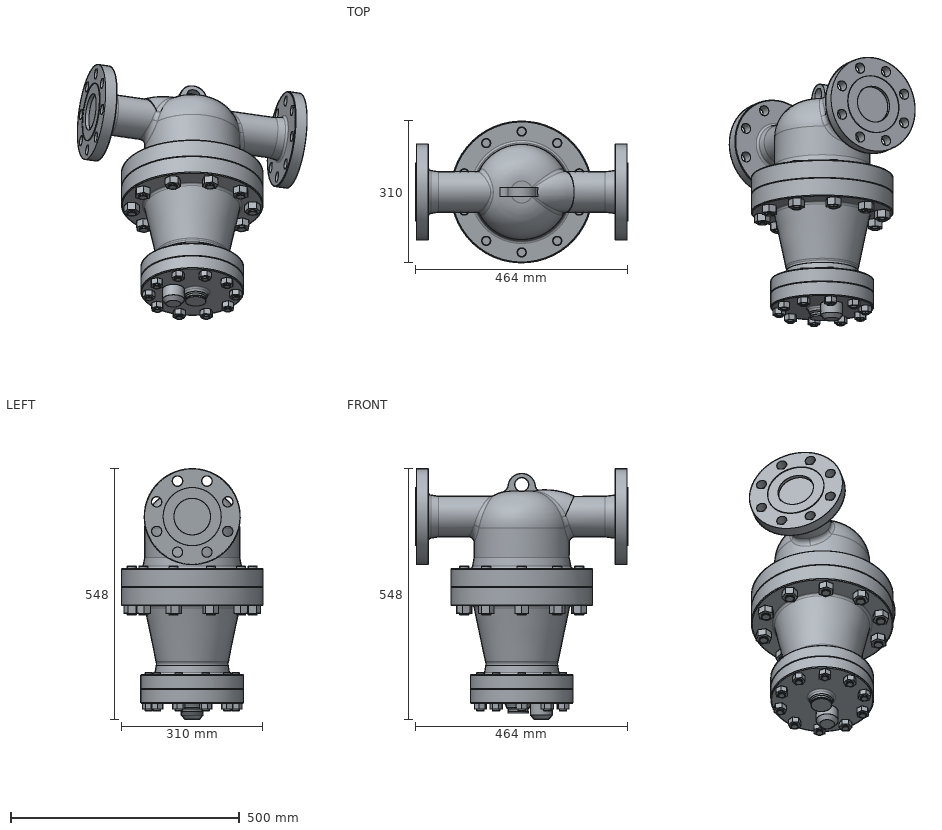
import cadquery as cq
import math

overall_length = 464.0

flange_diameter = 210.0
flange_thickness = 26.8
flange_edge_chamfer = 1.5
raised_face_diameter = 127.0
raised_face_height = 1.6
flange_hole_diameter = 22.2
flange_hole_circle = 168.0
flange_hole_count = 8
bore_diameter = 80.0
bore_depth = 8.0
pipe_diameter = 89.0
hub_diameter = 94.6
hub_length = 21.5
hub_fillet = 5.0

elbow_bend_radius = 114.3
elbow_center_x = 50.0
elbow_center_z = -100.0
elbow_angle_to_pipe = 24.0
elbow_angle_past_crown = 20.0
pipe_blend = 12.0
elbow_blend = 12.0
elbow_blend_limit_x = 100.0

body_diameter = 208.0
dome_radius = 80.0
dome_base_z = -24.4
upper_neck_top_z = -89.0
neck_fillet = 5.0
upper_neck_diameter = 215.0

cone_bottom_z = -316.0
cone_bottom_diameter = 159.0
weld_top_z = -320.0
weld_bottom_z = -325.0
weld_diameter = 156.5
lower_neck_top_diameter = 157.5
lower_neck_diameter = 162.5

joint_gap = 1.6
joint_chamfer = 2.0
bolt_count = 10
stud_chamfer = 1.0
stud_tail = 4.0

upper_joint_top_z = -113.0
upper_joint_diameter = 310.0
upper_plate_thickness = 40.0
upper_gasket_diameter = 240.0
upper_bolt_circle = 264.0
upper_stud_diameter = 20.0
upper_stud_head = 5.0
upper_nut_across_flats = 30.0
upper_nut_height = 16.5

lower_joint_top_z = -345.0
lower_joint_diameter = 225.0
lower_plate_thickness = 30.6
lower_gasket_diameter = 172.0
lower_bolt_circle = 190.0
lower_stud_diameter = 16.0
lower_stud_head = 4.0
lower_nut_across_flats = 24.0
lower_nut_height = 13.0

boss_x = -8.0
boss_flare = 4.0
boss_root_diameter = 54.0
boss_shoulder_diameter = 50.0
boss_shoulder_depth = 9.5
boss_waist_depth = 12.5
boss_groove_diameter = 42.0
boss_rim_diameter = 45.0
boss_rim_depth = 17.5
boss_rim_height = 4.0
plug_x = 43.0
plug_diameter = 48.0
plug_tip_diameter = 32.0
plug_shoulder_depth = 25.5
bottom_z = -443.0

lug_thickness = 20.0
lug_radius = 30.0
lug_center_z = 64.5
lug_hole_diameter = 30.0
lug_hole_z = 70.0
lug_half_length = 47.0
lug_flare_center_z = 70.4

quarter_arc_sag = 1 - math.sqrt(0.5)
dome_top_z = dome_base_z + dome_radius
dome_flat_radius = body_diameter / 2 - dome_radius
upper_joint_bottom_z = upper_joint_top_z - 2 * upper_plate_thickness - joint_gap
lower_joint_bottom_z = lower_joint_top_z - 2 * lower_plate_thickness - joint_gap
flange_back = overall_length / 2 - raised_face_height - flange_thickness
hub_end = flange_back - hub_length


def cylinder(diameter, z_start, z_end, x=0.0):
    return cq.Workplane("XY", origin=(x, 0, z_start)).circle(diameter / 2).extrude(z_end - z_start)


def cone(diameter_start, z_start, diameter_end, z_end, x=0.0):
    profile = (
        cq.Workplane("XZ", origin=(x, 0, 0))
        .moveTo(0, z_start)
        .lineTo(diameter_start / 2, z_start)
        .lineTo(diameter_end / 2, z_end)
        .lineTo(0, z_end)
        .close()
    )
    return profile.revolve(360, (0, 0, 0), (0, 1, 0))


def flare_down_to_plate(profile, radius, plate_z, fillet):
    """Continue a profile down to a neck radius and out along a concave fillet onto a plate."""
    sag = fillet * quarter_arc_sag
    return profile.lineTo(radius, plate_z + fillet).threePointArc(
        (radius + sag, plate_z + sag), (radius + fillet, plate_z)
    )


def flare_up_from_plate(profile, radius, plate_z, fillet):
    """Start under a plate and come down along a concave fillet to a neck radius."""
    sag = fillet * quarter_arc_sag
    return (
        profile.moveTo(0, plate_z)
        .lineTo(radius + fillet, plate_z)
        .threePointArc((radius + sag, plate_z - sag), (radius, plate_z - fillet))
    )


def domed_body():
    knuckle = dome_radius * math.sqrt(0.5)
    profile = (
        cq.Workplane("XZ")
        .moveTo(0, upper_joint_top_z)
        .lineTo(0, dome_top_z)
        .lineTo(dome_flat_radius, dome_top_z)
        .threePointArc(
            (dome_flat_radius + knuckle, dome_base_z + knuckle), (body_diameter / 2, dome_base_z)
        )
        .lineTo(body_diameter / 2, upper_neck_top_z)
    )
    profile = flare_down_to_plate(profile, upper_neck_diameter / 2, upper_joint_top_z, neck_fillet)
    dome = profile.close().revolve(360, (0, 0, 0), (0, 1, 0))
    return dome.rotate((0, 0, 0), (0, 0, 1), 180)


def conical_body():
    profile = flare_up_from_plate(
        cq.Workplane("XZ"), body_diameter / 2, upper_joint_bottom_z, neck_fillet
    )
    profile = (
        profile.lineTo(cone_bottom_diameter / 2, cone_bottom_z)
        .lineTo(weld_diameter / 2, weld_top_z)
        .lineTo(weld_diameter / 2, weld_bottom_z)
        .lineTo(lower_neck_top_diameter / 2, weld_bottom_z)
    )
    profile = flare_down_to_plate(profile, lower_neck_diameter / 2, lower_joint_top_z, neck_fillet)
    return profile.lineTo(0, lower_joint_top_z).close().revolve(360, (0, 0, 0), (0, 1, 0))


def elbow():
    """Arched pipe bend, starting inside the outlet pipe and ending inside the dome past its crown."""
    start = math.radians(elbow_angle_to_pipe)
    plane = cq.Plane(
        origin=(
            elbow_center_x + elbow_bend_radius * math.sin(start),
            0,
            elbow_center_z + elbow_bend_radius * math.cos(start),
        ),
        xDir=(0, 1, 0),
        normal=(-math.cos(start), 0, math.sin(start)),
    )
    axis_y = -elbow_bend_radius if plane.yDir.z > 0 else elbow_bend_radius
    sweep = elbow_angle_to_pipe + elbow_angle_past_crown
    return cq.Workplane(plane).circle(pipe_diameter / 2).revolve(sweep, (0, axis_y, 0), (-1, axis_y, 0))


def pipe(side):
    return cq.Workplane("YZ").circle(pipe_diameter / 2).extrude(side * hub_end)


def blend_joint(body, radius, x_limit):
    """Round the freeform edges where a pipe meets the dome, up to x_limit from the body axis."""
    joint_edges = []
    for edge in body.edges("%BSPLINE").vals():
        box = edge.BoundingBox()
        if max(abs(box.xmin), abs(box.xmax)) < x_limit:
            joint_edges.append(edge)
    return body.newObject(joint_edges).fillet(radius)


def piped_body():
    dome = domed_body()
    straight = blend_joint(dome.union(pipe(-1)).union(pipe(1)), pipe_blend, hub_end)
    arched = blend_joint(dome.union(elbow()), elbow_blend, elbow_blend_limit_x)
    return straight.union(arched)


def pipe_flange(side):
    """Weld-neck flange on the +X (side = 1) or -X (side = -1) end; only the -X hub is filleted."""
    hub_root = hub_diameter / 2
    front = overall_length / 2 - raised_face_height
    profile = cq.Workplane("XZ").moveTo(hub_end, 0).lineTo(hub_end, pipe_diameter / 2)
    if side < 0:
        sag = hub_fillet * quarter_arc_sag
        profile = profile.lineTo(flange_back - hub_fillet, hub_root).threePointArc(
            (flange_back - sag, hub_root + sag), (flange_back, hub_root + hub_fillet)
        )
    else:
        profile = profile.lineTo(flange_back, hub_root)
    flange = (
        profile.lineTo(flange_back, flange_diameter / 2 - flange_edge_chamfer)
        .lineTo(flange_back + flange_edge_chamfer, flange_diameter / 2)
        .lineTo(front, flange_diameter / 2)
        .lineTo(front, raised_face_diameter / 2)
        .lineTo(overall_length / 2, raised_face_diameter / 2)
        .lineTo(overall_length / 2, 0)
        .close()
        .revolve(360, (0, 0, 0), (1, 0, 0))
    )
    holes = (
        cq.Workplane("YZ", origin=(hub_end, 0, 0))
        .polarArray(flange_hole_circle / 2, 180 / flange_hole_count, 360, flange_hole_count)
        .circle(flange_hole_diameter / 2)
        .extrude(overall_length / 2 - hub_end)
    )
    bore = (
        cq.Workplane("YZ", origin=(overall_length / 2 - bore_depth, 0, 0))
        .circle(bore_diameter / 2)
        .extrude(bore_depth)
    )
    flange = flange.cut(holes).cut(bore)
    return flange if side > 0 else flange.mirror("YZ")


def bolted_joint(top_z, diameter, plate, gasket_diameter):
    """Pair of flange plates with chamfered outer rims and a gasket between them."""
    joint_bottom_z = top_z - 2 * plate - joint_gap
    upper = cylinder(diameter, top_z - plate, top_z).faces(">Z").edges().chamfer(joint_chamfer)
    lower = cylinder(diameter, joint_bottom_z, joint_bottom_z + plate)
    lower = lower.faces("<Z").edges().chamfer(joint_chamfer)
    gasket = cylinder(gasket_diameter, joint_bottom_z + plate, top_z - plate)
    return upper.union(gasket).union(lower)


def stud_bolt(top_z, joint_bottom_z, diameter, head, across_flats, nut_height):
    nut_bottom_z = joint_bottom_z - nut_height
    stud = cylinder(diameter, nut_bottom_z - stud_tail, top_z + head)
    stud = stud.faces("<Z or >Z").edges().chamfer(stud_chamfer)
    nut = (
        cq.Workplane("XY", origin=(0, 0, nut_bottom_z))
        .polygon(6, across_flats, circumscribed=True)
        .extrude(nut_height)
    )
    return stud.union(nut)


def bolt_ring(bolt, bolt_circle):
    """Move one bolt out along +Y and repeat it around the body axis."""
    first = bolt.translate((0, bolt_circle / 2, 0))
    ring = cq.Workplane("XY")
    for index in range(bolt_count):
        ring = ring.add(first.rotate((0, 0, 0), (0, 0, 1), index * 360 / bolt_count))
    return ring.combine()


def drain_boss():
    """Boss that narrows in tapered steps from a flared root to a plain rim."""
    shoulder_z = lower_joint_bottom_z - boss_shoulder_depth
    waist_z = lower_joint_bottom_z - boss_waist_depth
    rim_top_z = lower_joint_bottom_z - boss_rim_depth
    rim_bottom_z = rim_top_z - boss_rim_height
    profile = flare_up_from_plate(
        cq.Workplane("XZ", origin=(boss_x, 0, 0)), boss_root_diameter / 2, lower_joint_bottom_z, boss_flare
    )
    profile = (
        profile.lineTo(boss_shoulder_diameter / 2, shoulder_z)
        .lineTo(boss_rim_diameter / 2, waist_z)
        .lineTo(boss_groove_diameter / 2, rim_top_z)
        .lineTo(boss_rim_diameter / 2, rim_top_z)
        .lineTo(boss_rim_diameter / 2, rim_bottom_z)
        .lineTo(0, rim_bottom_z)
        .close()
    )
    return profile.revolve(360, (0, 0, 0), (0, 1, 0))


def drain_plug():
    shoulder_z = lower_joint_bottom_z - plug_shoulder_depth
    barrel = cylinder(plug_diameter, shoulder_z, lower_joint_bottom_z, plug_x)
    tip = cone(plug_diameter, shoulder_z, plug_tip_diameter, bottom_z, plug_x)
    return barrel.union(tip)


def lifting_lug():
    """Eye plate whose rounded head flares onto the dome through a tangent arc on each side."""
    rise = lug_flare_center_z - lug_center_z
    center_distance = math.hypot(lug_half_length, rise)
    flare_radius = center_distance - lug_radius
    tangent_x = lug_half_length * lug_radius / center_distance
    tangent_z = lug_center_z + rise * lug_radius / center_distance
    flare_z = lug_flare_center_z - flare_radius
    flare_mid_x = lug_half_length - flare_radius * math.sqrt(0.5)
    flare_mid_z = lug_flare_center_z - flare_radius * math.sqrt(0.5)
    plate = (
        cq.Workplane("XZ", origin=(0, lug_thickness / 2, 0))
        .moveTo(-lug_half_length, dome_base_z)
        .lineTo(-lug_half_length, flare_z)
        .threePointArc((-flare_mid_x, flare_mid_z), (-tangent_x, tangent_z))
        .threePointArc((0, lug_center_z + lug_radius), (tangent_x, tangent_z))
        .threePointArc((flare_mid_x, flare_mid_z), (lug_half_length, flare_z))
        .lineTo(lug_half_length, dome_base_z)
        .close()
        .extrude(lug_thickness)
    )
    eye = (
        cq.Workplane("XZ", origin=(0, lug_thickness / 2, lug_hole_z))
        .circle(lug_hole_diameter / 2)
        .extrude(lug_thickness)
    )
    return plate.cut(eye)


upper_bolt = stud_bolt(
    upper_joint_top_z,
    upper_joint_bottom_z,
    upper_stud_diameter,
    upper_stud_head,
    upper_nut_across_flats,
    upper_nut_height,
)
lower_bolt = stud_bolt(
    lower_joint_top_z,
    lower_joint_bottom_z,
    lower_stud_diameter,
    lower_stud_head,
    lower_nut_across_flats,
    lower_nut_height,
)

features = [
    lifting_lug(),
    pipe_flange(-1),
    pipe_flange(1),
    bolted_joint(upper_joint_top_z, upper_joint_diameter, upper_plate_thickness, upper_gasket_diameter),
    conical_body(),
    bolted_joint(lower_joint_top_z, lower_joint_diameter, lower_plate_thickness, lower_gasket_diameter),
    bolt_ring(upper_bolt, upper_bolt_circle),
    bolt_ring(lower_bolt, lower_bolt_circle),
    drain_boss(),
    drain_plug(),
]

result = piped_body()
for feature in features:
    result = result.union(feature)